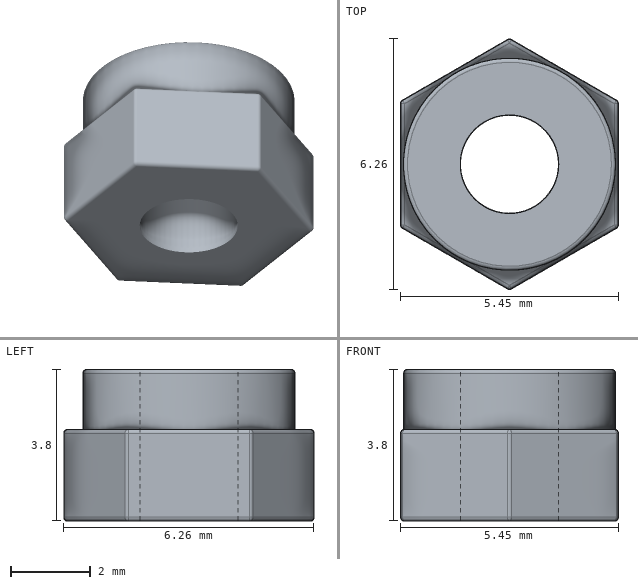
import cadquery as cq
import math

across_corners = 6.26
total_height = 3.8
hex_height = 2.3
collar_diameter = 5.3
bore_diameter = 2.455
edge_radius = 0.1

corner_loss = edge_radius * (1 / math.cos(math.pi / 6) - 1)
sharp_across_corners = across_corners + 2 * corner_loss


def make_hex_base():
    """Hexagon with corners on the Y axis and every edge rounded."""
    return (
        cq.Workplane("XY")
        .polygon(6, sharp_across_corners)
        .extrude(hex_height)
        .rotate((0, 0, 0), (0, 0, 1), 30)
        .edges()
        .fillet(edge_radius)
    )


def make_collar():
    """Round collar, starting inside the hexagon, with a rounded top rim."""
    return (
        cq.Workplane("XY")
        .workplane(offset=hex_height / 2)
        .circle(collar_diameter / 2)
        .extrude(total_height - hex_height / 2)
        .faces(">Z")
        .edges()
        .fillet(edge_radius)
    )


def make_bore():
    """Straight hole through the full height."""
    return cq.Workplane("XY").circle(bore_diameter / 2).extrude(total_height)


result = make_hex_base().union(make_collar()).cut(make_bore())